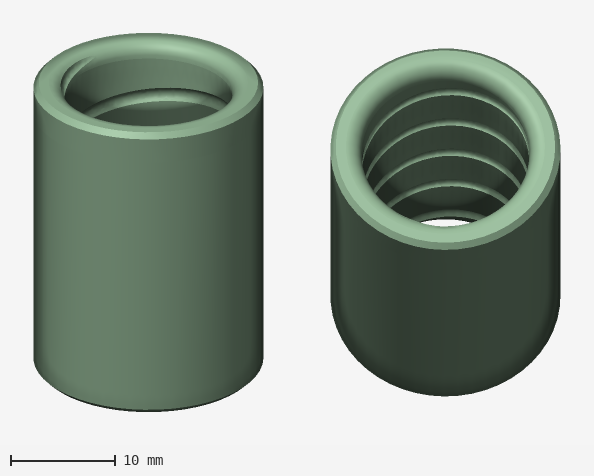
import cadquery as cq

length = 30.0
outer_radius = 10.995
bore_radius = 8.0
outer_chamfer = 0.5
mouth_radius = 1.5
collar_height = 3.0

groove_turns = 5
groove_pitch = length / groove_turns
groove_radius = 0.75
groove_depth = 0.5


def make_body():
    """Revolve the wall section; a point on the outer wall marks off the collar face."""
    chamfer_inner = outer_radius - outer_chamfer
    mouth_outer = bore_radius + mouth_radius
    mouth_middle = mouth_outer - mouth_radius * 0.5**0.5
    mouth_middle_depth = mouth_radius * (1 - 0.5**0.5)
    return (
        cq.Workplane("XZ")
        .moveTo(mouth_outer, 0)
        .lineTo(chamfer_inner, 0)
        .lineTo(outer_radius, outer_chamfer)
        .lineTo(outer_radius, length - collar_height)
        .lineTo(outer_radius, length - outer_chamfer)
        .lineTo(chamfer_inner, length)
        .lineTo(mouth_outer, length)
        .threePointArc((mouth_middle, length - mouth_middle_depth), (bore_radius, length - mouth_radius))
        .lineTo(bore_radius, mouth_radius)
        .threePointArc((mouth_middle, mouth_middle_depth), (mouth_outer, 0))
        .close()
        .revolve(360, (0, 0), (0, 1), clean=False)
    )


def make_groove_turn():
    """Sweep a round-nosed cutter through one helix turn, starting at Z = 0 on the -X side."""
    path_radius = bore_radius + groove_depth - groove_radius
    path = cq.Wire.makeHelix(groove_pitch, groove_pitch, path_radius, lefthand=True)
    cutter = (
        cq.Workplane("XZ")
        .moveTo(path_radius - groove_radius, -groove_radius)
        .lineTo(path_radius, -groove_radius)
        .threePointArc((path_radius + groove_radius, 0), (path_radius, groove_radius))
        .lineTo(path_radius - groove_radius, groove_radius)
        .close()
        .sweep(cq.Workplane(obj=path), isFrenet=True)
    )
    return cutter.rotate((0, 0, 0), (0, 0, 1), 180)


groove_turn = make_groove_turn()
result = make_body()
for turn in range(groove_turns):
    result = result.cut(groove_turn.translate((0, 0, turn * groove_pitch)), clean=False)